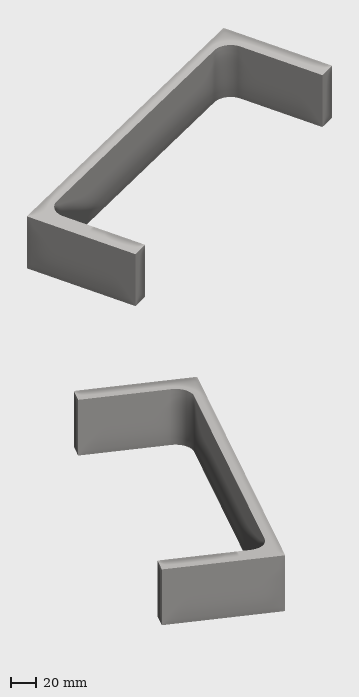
import cadquery as cq

depth = 300.0
flange_width = 100.0
length = 50.0
web_thickness = 9.5
flange_thickness = 15.0
root_radius = 15.0

block = cq.Workplane("XY").box(flange_width, depth, length)
opening = (
    cq.Workplane("XY")
    .box(flange_width, depth - 2 * flange_thickness, length)
    .translate((web_thickness, 0, 0))
    .edges("|Z and <X")
    .fillet(root_radius)
)

result = block.cut(opening)